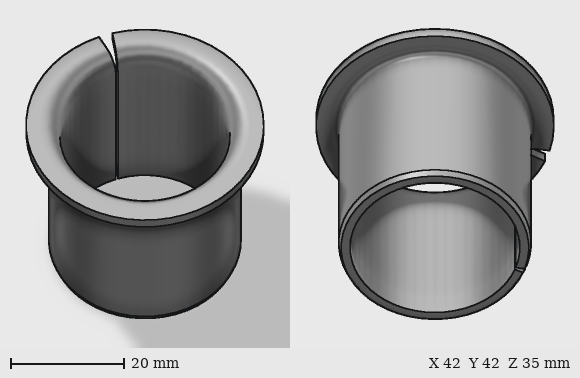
import cadquery as cq
import math

flange_diameter = 42.0
total_height = 35.0
wall = 2.0
bore_diameter = 29.97
inner_bend_radius = 3.5
chamfer_height = 1.2
chamfer_angle = 20.0
gap_at_bore = 0.4
gap_side_angle = 10.0

flange_radius = flange_diameter / 2
bore_radius = bore_diameter / 2
sleeve_radius = bore_radius + wall
outer_bend_radius = inner_bend_radius - wall
bend_center_radius = bore_radius + inner_bend_radius
bend_center_z = total_height - inner_bend_radius
chamfer_width = chamfer_height * math.tan(math.radians(chamfer_angle))


def bend_midpoint(radius):
    """Point halfway along the quarter bend between sleeve and flange."""
    offset = radius * math.sqrt(0.5)
    return (bend_center_radius - offset, bend_center_z + offset)


def flanged_sleeve():
    """Revolve the wall section: sleeve, bend and flange of constant thickness."""
    section = (
        cq.Workplane("XZ")
        .moveTo(bore_radius, 0)
        .lineTo(sleeve_radius - chamfer_width, 0)
        .lineTo(sleeve_radius, chamfer_height)
        .lineTo(sleeve_radius, bend_center_z)
        .threePointArc(bend_midpoint(outer_bend_radius), (bend_center_radius, total_height - wall))
        .lineTo(flange_radius, total_height - wall)
        .lineTo(flange_radius, total_height)
        .lineTo(bend_center_radius, total_height)
        .threePointArc(bend_midpoint(inner_bend_radius), (bore_radius, bend_center_z))
        .close()
    )
    return section.revolve(360, (0, 0, 0), (0, 1, 0)).rotate((0, 0, 0), (0, 0, 1), 180)


def split_cutter():
    """Wedge on the -X side that widens outward and runs the full height."""
    half_gap_at_bore = gap_at_bore / 2
    slope = math.tan(math.radians(gap_side_angle))
    tip_x = -bore_radius + half_gap_at_bore / slope
    outer_x = -flange_diameter
    outer_half_gap = (tip_x - outer_x) * slope
    return (
        cq.Workplane("XY")
        .polyline([(tip_x, 0), (outer_x, outer_half_gap), (outer_x, -outer_half_gap)])
        .close()
        .extrude(total_height)
    )


result = flanged_sleeve().cut(split_cutter())